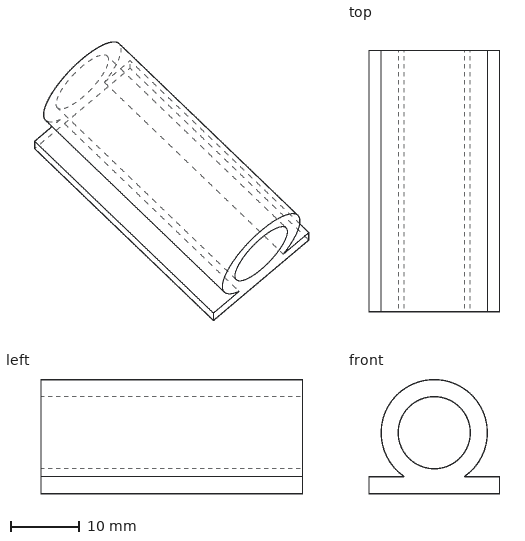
import cadquery as cq

length = 38.1
base_width = 19.05
base_thickness = 2.5
overall_height = 16.65
bore_diameter = 10.48
wall_thickness = 2.5

tube_radius = bore_diameter / 2 + wall_thickness
axis_height = overall_height - tube_radius


def cylinder_along_y(radius):
    """Cylinder over the full length, centred on the tube axis."""
    return (
        cq.Workplane("XZ")
        .center(0, axis_height)
        .circle(radius)
        .extrude(length / 2, both=True)
    )


base = cq.Workplane("XY").box(base_width, length, base_thickness, centered=(True, True, False))

tube = cylinder_along_y(tube_radius)
bore = cylinder_along_y(bore_diameter / 2)
result = base.union(tube).cut(bore)